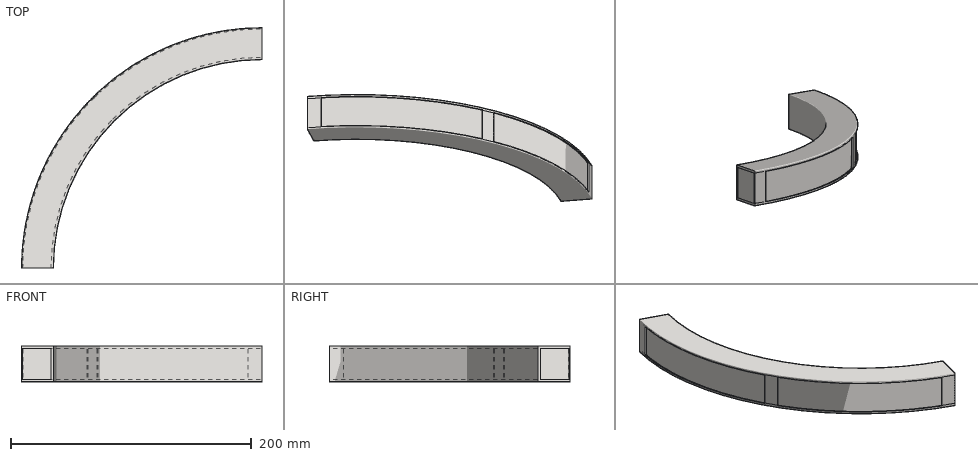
import cadquery as cq

outer_radius = 200.0
housing_width = 26.5
housing_height = 30.0
inner_radius = outer_radius - housing_width
edge_round = 0.5
quarter_turn = 90.0
half_turn = 2 * quarter_turn

outer_wall = 1.0
inner_wall = 2.0
flat_wall = 2.0
core_outer_radius = outer_radius - outer_wall
core_inner_radius = inner_radius + inner_wall
core_height = housing_height - 2 * flat_wall

window_count = 2
window_angle = 40.0
web_angle = (quarter_turn - window_count * window_angle) / (window_count + 1)


def ring_sector(small_radius, large_radius, height, start_angle, sweep_angle):
    """Ring sector centred in Z; angles run clockwise from the end face at Y = 0."""
    profile = cq.Workplane("XZ").center((small_radius + large_radius) / 2, 0)
    profile = profile.rect(large_radius - small_radius, height)
    axis_x = -(small_radius + large_radius) / 2
    sector = profile.revolve(sweep_angle, (axis_x, 0, 0), (axis_x, -1, 0))
    turn = half_turn - start_angle
    return sector.rotate((0, 0, 0), (0, 0, 1), turn).translate((outer_radius, 0, 0))


def make_core():
    return ring_sector(core_inner_radius, core_outer_radius, core_height, 0, quarter_turn)


def make_housing(core):
    tube = ring_sector(inner_radius, outer_radius, housing_height, 0, quarter_turn)
    tube = tube.edges("%CIRCLE").fillet(edge_round)
    tube = tube.cut(core)
    for index in range(window_count):
        start_angle = web_angle + index * (window_angle + web_angle)
        window = ring_sector(
            core_outer_radius, outer_radius + outer_wall, core_height, start_angle, window_angle
        )
        tube = tube.cut(window)
    return tube.solids()


core = make_core()
housing = make_housing(core)

result = cq.Compound.makeCompound([housing.val(), core.val()])